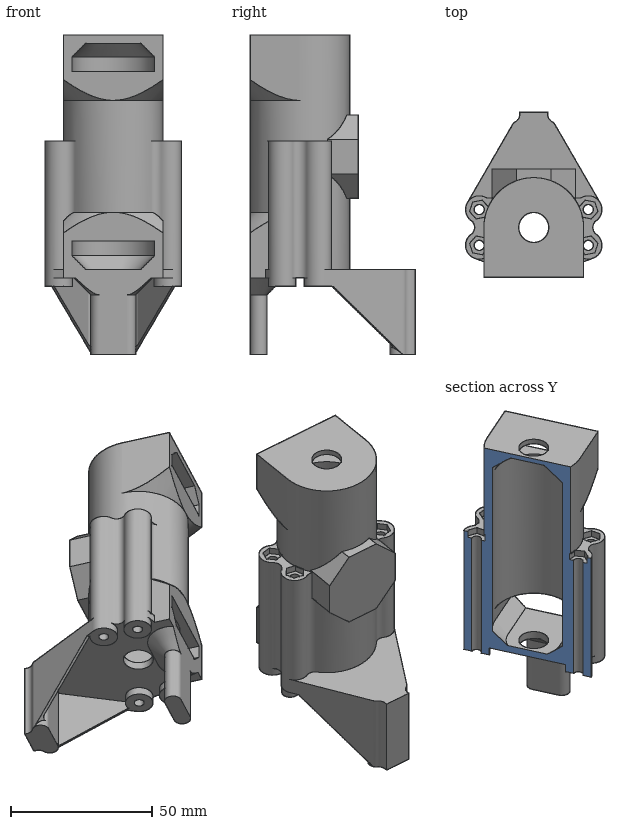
import cadquery as cq
import math

TOTAL_HEIGHT = 113
TUBE_DIAMETER = 35.3
BORE_DIAMETER = 29.3
END_HOLE_DIAMETER = 10.5
TOP_WALL = 2.0
TUBE_BOTTOM = 27.1
BLOCK_HEIGHT = 23.2
PORT_STRAIGHT_HEIGHT = 5.1
PORT_TAPER_HEIGHT = 4.9

BOSS_SPAN = 48.3
BOSS_DIAMETER = 9.7
BOSS_Y = 6.3
BOSS_TOP = 75.5
BOLT_DIAMETER = 3.5
NUT_SIDES = 6
NUT_CORNER_DIAMETER = 7.0
NUT_DEPTH = 2.5

LUG_SIDES = 8
LUG_WIDTH = 29.5
LUG_CENTRE_Z = 70.0

LEG_FLAT_WIDTH = 10.0
FOOT_REACH = 40.8
FOOT_WALL = 1.0
FOOT_CORNER_RADIUS = 1.5
FOOT_SLOPE_START = 3.4

TUBE_RADIUS = TUBE_DIAMETER / 2
BORE_RADIUS = BORE_DIAMETER / 2
WALL = TUBE_RADIUS - BORE_RADIUS
FILLET_RADIUS = WALL
BOSS_RADIUS = BOSS_DIAMETER / 2
BOSS_X = (BOSS_SPAN - BOSS_DIAMETER) / 2
BOSS_BOTTOM = TUBE_BOTTOM - WALL
PLATE_TOP = TUBE_BOTTOM + WALL
LEG_TOP = BOSS_BOTTOM - WALL
LEG_RADIUS = WALL
LEG_Y = LEG_RADIUS - TUBE_RADIUS
PILLAR_Y = FOOT_REACH - WALL - LEG_RADIUS
ROUND_X = LEG_FLAT_WIDTH / 2
LUG_REACH = TUBE_RADIUS + WALL
NUT_HALF_STEP = 180 / NUT_SIDES
LUG_HALF_STEP = 180 / LUG_SIDES

BOSSES = [(sx * BOSS_X, sy * BOSS_Y) for sx in (-1, 1) for sy in (-1, 1)]


def cylinder(centre, radius, bottom, top):
    return cq.Workplane("XY", origin=(0, 0, bottom)).center(*centre).circle(radius).extrude(top - bottom)


def prism(points, bottom, top):
    return cq.Workplane("XY", origin=(0, 0, bottom)).polyline(points).close().extrude(top - bottom)


def box(half_width, front, rear, bottom, top):
    corners = [(-half_width, front), (half_width, front), (half_width, rear), (-half_width, rear)]
    return prism(corners, bottom, top)


def both_sides(shape):
    return shape.union(shape.mirror("YZ"))


def flip_tube(shape):
    """Turn a feature of the tube's top end into the same feature at its bottom end."""
    middle = (TUBE_BOTTOM + TOTAL_HEIGHT) / 2
    return shape.mirror("XY", (0, 0, middle))


def meeting_point(c1, r1, c2, r2):
    """Point at distance r1 from c1 and r2 from c2, on the left going from c1 to c2."""
    gap = math.dist(c1, c2)
    along = (r1**2 - r2**2 + gap**2) / (2 * gap)
    aside = math.sqrt(r1**2 - along**2)
    ux = (c2[0] - c1[0]) / gap
    uy = (c2[1] - c1[1]) / gap
    return (c1[0] + along * ux - aside * uy, c1[1] + along * uy + aside * ux)


def fillet_web(c1, r1, c2, r2, bottom, top):
    """Concave web between two round columns, on the left going from c1 to c2."""
    centre = meeting_point(c1, r1 + FILLET_RADIUS, c2, r2 + FILLET_RADIUS)
    return prism([c1, centre, c2], bottom, top).cut(cylinder(centre, FILLET_RADIUS, bottom, top))


def tangent_normal(c1, r1, c2, r2):
    """Unit normal of the outer tangent of two circles, on the left going from c1 to c2."""
    heading = math.atan2(c2[1] - c1[1], c2[0] - c1[0])
    angle = heading + math.acos((r1 - r2) / math.dist(c1, c2))
    return (math.cos(angle), math.sin(angle))


def offset(point, direction, distance):
    return (point[0] + distance * direction[0], point[1] + distance * direction[1])


def end_block():
    """Square front half of the top end, its underside a 45 degree cone."""
    bottom = TOTAL_HEIGHT - BLOCK_HEIGHT
    block = box(TUBE_RADIUS, -TUBE_RADIUS, 0, bottom, TOTAL_HEIGHT)
    cone = cq.Workplane("XY", origin=(0, 0, bottom)).circle(TUBE_RADIUS).extrude(BLOCK_HEIGHT, taper=-45)
    return block.intersect(cone)


def port_outline(top):
    """Half section of a port on the XZ plane, narrowing at 45 degrees up to the given height."""
    shoulder = TOTAL_HEIGHT - WALL - PORT_TAPER_HEIGHT
    floor = shoulder - PORT_STRAIGHT_HEIGHT
    top_radius = BORE_RADIUS - (top - shoulder)
    points = [(0, floor), (BORE_RADIUS, floor), (BORE_RADIUS, shoulder), (top_radius, top), (0, top)]
    return cq.Workplane("XZ").polyline(points).close()


def end_port(end_wall):
    """Tapered top of the bore together with the port leading out of it to -Y."""
    chamber = port_outline(TOTAL_HEIGHT - end_wall).revolve(360, (0, 0), (0, 1))
    passage = both_sides(port_outline(TOTAL_HEIGHT - WALL).extrude(TUBE_RADIUS))
    return chamber.union(passage)


def boss_columns():
    columns = cq.Workplane("XY")
    for boss in BOSSES:
        columns = columns.union(cylinder(boss, BOSS_RADIUS, BOSS_BOTTOM, BOSS_TOP))
    front = (BOSS_X, -BOSS_Y)
    rear = (BOSS_X, BOSS_Y)
    span = (TUBE_BOTTOM, BOSS_TOP)
    webs = fillet_web((0, 0), TUBE_RADIUS, rear, BOSS_RADIUS, *span)
    webs = webs.union(fillet_web(front, BOSS_RADIUS, (0, 0), TUBE_RADIUS, *span))
    webs = webs.union(fillet_web(rear, BOSS_RADIUS, front, BOSS_RADIUS, *span))
    webs = webs.union(prism([(0, 0), front, rear], *span))
    return columns.union(both_sides(webs))


def bolt_holes():
    holes = cq.Workplane("XY")
    for boss in BOSSES:
        holes = holes.union(cylinder(boss, BOLT_DIAMETER / 2, BOSS_BOTTOM, BOSS_TOP))
        facing = math.degrees(math.atan2(boss[1], boss[0]))
        nut = (
            cq.Workplane("XY", origin=(*boss, BOSS_TOP - NUT_DEPTH))
            .transformed(rotate=(0, 0, facing + NUT_HALF_STEP))
            .polygon(NUT_SIDES, NUT_CORNER_DIAMETER)
            .extrude(NUT_DEPTH)
        )
        holes = holes.union(nut)
    return holes


def rear_lug():
    side_to_corner = 1 / math.cos(math.radians(LUG_HALF_STEP))
    return (
        cq.Workplane("XZ", origin=(0, 0, LUG_CENTRE_Z))
        .transformed(rotate=(0, 0, LUG_HALF_STEP))
        .polygon(LUG_SIDES, LUG_WIDTH * side_to_corner)
        .extrude(-LUG_REACH)
    )


def leg_slot(y, bottom):
    length = LEG_FLAT_WIDTH + 2 * LEG_RADIUS
    return cq.Workplane("XY", origin=(0, y, bottom)).slot2D(length, 2 * LEG_RADIUS)


def front_leg():
    leg = leg_slot(LEG_Y, 0).extrude(LEG_TOP)
    flare = leg_slot(LEG_Y, LEG_TOP).extrude(TUBE_BOTTOM - LEG_TOP, taper=-45)
    behind_face = box(TUBE_RADIUS, -TUBE_RADIUS, 0, 0, TUBE_BOTTOM)
    return leg.union(flare.intersect(behind_face))


def rear_foot():
    boss = (BOSS_X, BOSS_Y)
    pillar_end = (ROUND_X, PILLAR_Y)
    normal = tangent_normal(pillar_end, LEG_RADIUS, boss, BOSS_RADIUS)
    wall_line = [offset(pillar_end, normal, LEG_RADIUS), offset(boss, normal, BOSS_RADIUS)]
    inner_line = [offset(point, normal, -FOOT_WALL) for point in wall_line]

    wall = prism([*wall_line, *reversed(inner_line)], 0, PLATE_TOP)
    inner_distance = LEG_RADIUS - FOOT_WALL - FOOT_CORNER_RADIUS
    reach = LEG_RADIUS + FOOT_CORNER_RADIUS
    along = math.sqrt(reach**2 - inner_distance**2)
    corner = offset(offset(pillar_end, normal, inner_distance), (normal[1], -normal[0]), along)
    touch = offset(corner, normal, FOOT_CORNER_RADIUS)
    web = prism([pillar_end, inner_line[0], touch, corner], 0, PLATE_TOP)
    wall = wall.union(web.cut(cylinder(corner, FOOT_CORNER_RADIUS, 0, PLATE_TOP)))

    length = math.dist(*wall_line)
    edge = [
        (0, PLATE_TOP),
        (0, BOSS_BOTTOM),
        (FOOT_SLOPE_START, BOSS_BOTTOM),
        (length, 0),
        (length + LEG_RADIUS, 0),
        (length + LEG_RADIUS, PLATE_TOP),
    ]
    wall_plane = cq.Plane(
        origin=(*wall_line[1], 0), xDir=(-normal[1], normal[0], 0), normal=(*normal, 0)
    )
    wall = wall.intersect(cq.Workplane(wall_plane).polyline(edge).close().extrude(-2 * LEG_RADIUS))

    pillar = leg_slot(PILLAR_Y, 0).extrude(PLATE_TOP)
    tab = box(ROUND_X, PILLAR_Y, FOOT_REACH, 0, PLATE_TOP)
    rise = math.sqrt((LEG_RADIUS + FILLET_RADIUS) ** 2 - FILLET_RADIUS**2)
    hollow = (ROUND_X + FILLET_RADIUS, PILLAR_Y + rise)
    blend = prism([pillar_end, hollow, (ROUND_X, hollow[1])], 0, PLATE_TOP)
    blend = blend.cut(cylinder(hollow, FILLET_RADIUS, 0, PLATE_TOP))

    plate = prism([(0, 0), boss, wall_line[1], wall_line[0], (0, PILLAR_Y)], TUBE_BOTTOM, PLATE_TOP)
    return pillar.union(tab).union(both_sides(wall.union(blend).union(plate)))


def front_plate():
    """Plate spanning from the tube to the front bosses along their common tangents."""
    boss = (BOSS_X, -BOSS_Y)
    normal = tangent_normal(boss, BOSS_RADIUS, (0, 0), TUBE_RADIUS)
    edge = [offset(boss, normal, BOSS_RADIUS), offset((0, 0), normal, TUBE_RADIUS)]
    return both_sides(prism([(0, 0), boss, *edge], TUBE_BOTTOM, PLATE_TOP))


top_block = end_block()
top_port = end_port(TOP_WALL)
bottom_port = flip_tube(end_port(WALL))

body = cylinder((0, 0), TUBE_RADIUS, TUBE_BOTTOM, TOTAL_HEIGHT)
body = body.union(top_block).union(flip_tube(top_block))
body = body.union(boss_columns()).union(rear_lug())
body = body.union(front_leg()).union(rear_foot()).union(front_plate())

bore = cylinder((0, 0), BORE_RADIUS, PLATE_TOP + PORT_TAPER_HEIGHT, TOTAL_HEIGHT - WALL - PORT_TAPER_HEIGHT)
end_holes = cylinder((0, 0), END_HOLE_DIAMETER / 2, TUBE_BOTTOM, TOTAL_HEIGHT)
body = body.cut(bore.union(top_port).union(bottom_port).union(end_holes))
result = body.cut(bolt_holes())